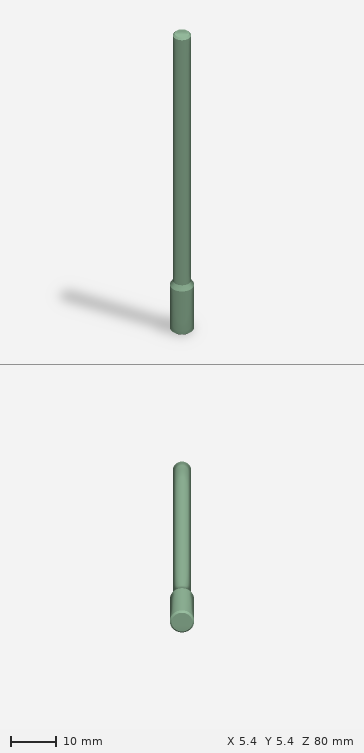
import cadquery as cq

total_length = 80.0
rod_diameter = 4.0
head_diameter = 5.4

head_length = 13.2
shoulder_height = 1.2

end_chamfer = 0.4

rod_radius = rod_diameter / 2
head_radius = head_diameter / 2
rod_length = total_length - head_length


def make_rod():
    """Straight round rod standing on the head, chamfered at its top end."""
    rod = cq.Workplane("XY", origin=(0, 0, head_length)).circle(rod_radius).extrude(rod_length)
    return rod.faces(">Z").chamfer(end_chamfer)


def make_head():
    """Solid round head whose conical shoulder narrows to the rod, with a chamfered lower edge."""
    half_section = (
        cq.Workplane("XZ")
        .lineTo(head_radius - end_chamfer, 0)
        .lineTo(head_radius, end_chamfer)
        .lineTo(head_radius, head_length - shoulder_height)
        .lineTo(rod_radius, head_length)
        .lineTo(0, head_length)
        .close()
    )
    return half_section.revolve(360, (0, 0, 0), (0, 1, 0))


rod = make_rod()
head = make_head()

result = cq.Compound.makeCompound([rod.val(), head.val()])